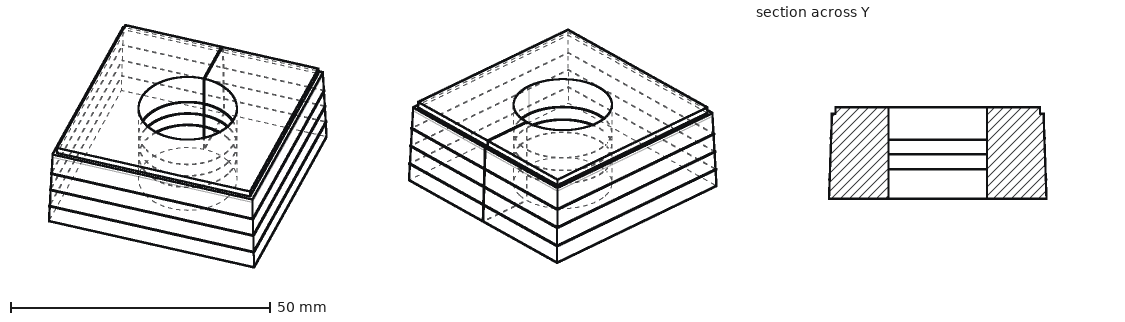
import cadquery as cq

base_side = 42.0
shoulder_side = 40.9
top_side = 39.5
height = 17.7
plate_height = 1.25
shoulder_band = 0.7
shoulder_z = height - plate_height
taper_top_z = shoulder_z - shoulder_band

rib_width = 0.1
rib_height = 0.1
outer_rib_count = 3
outer_rib_pitch = 4.0

bore_radius = 19.0 / 2
bore_rib_count = 3
lowest_bore_rib_z = 5.7
bore_rib_pitch = 2.85
slit_width = 0.2


def square_prism(side, bottom_z, prism_height):
    return cq.Workplane("XY", origin=(0, 0, bottom_z)).rect(side, side).extrude(prism_height)


def cylinder(radius, bottom_z, cylinder_height):
    return cq.Workplane("XY", origin=(0, 0, bottom_z)).circle(radius).extrude(cylinder_height)


def tapered_side(z):
    """Side length of the tapered base at height z."""
    return base_side + (shoulder_side - base_side) * z / taper_top_z


def outer_body():
    tapered_base = (
        cq.Workplane("XY")
        .rect(base_side, base_side)
        .workplane(offset=taper_top_z)
        .rect(shoulder_side, shoulder_side)
        .loft(ruled=True)
    )
    shoulder = square_prism(shoulder_side, taper_top_z, shoulder_band)
    top_plate = square_prism(top_side, shoulder_z, plate_height)
    body = tapered_base.union(shoulder).union(top_plate)
    for index in range(1, outer_rib_count + 1):
        rib_z = taper_top_z - index * outer_rib_pitch
        rib_side = tapered_side(rib_z) + 2 * rib_height
        body = body.union(square_prism(rib_side, rib_z - rib_width / 2, rib_width))
    return body


def ribbed_bore():
    """Solid to remove for the bore, leaving the ribs standing inward from its wall."""
    bore = cylinder(bore_radius, 0, height)
    for index in range(bore_rib_count):
        rib_bottom_z = lowest_bore_rib_z + index * bore_rib_pitch - rib_width / 2
        rib = cylinder(bore_radius, rib_bottom_z, rib_width).cut(
            cylinder(bore_radius - rib_height, rib_bottom_z, rib_width)
        )
        bore = bore.cut(rib)
    return bore


def slit():
    slit_length = base_side / 2
    return (
        cq.Workplane("XY", origin=(0, slit_length / 2, 0))
        .rect(slit_width, slit_length)
        .extrude(height)
    )


result = outer_body().cut(ribbed_bore()).cut(slit())